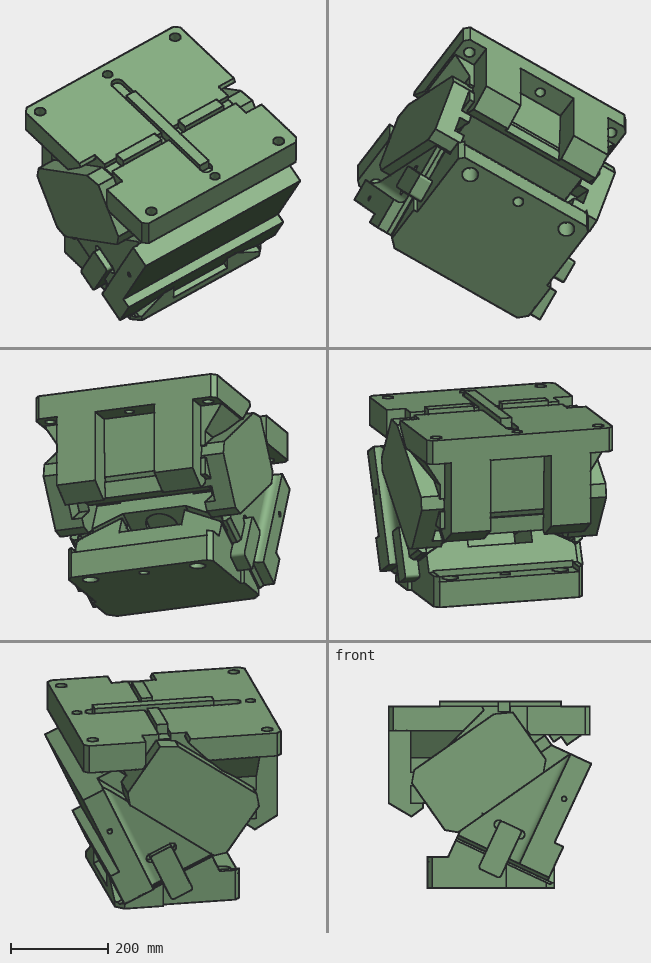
import cadquery as cq
import math


TOTAL_HEIGHT = 384.0
TOTAL_LENGTH = 417.16
HALF_WIDTH = 200.0
TILT = math.radians(25)
INCLINE = math.radians(35)
GABLE_PITCH = math.radians(28)
GABLE_HALF = 160.0
CORNER_CHAMFER = 10.0
FAR = 500.0

SLIDER_TOP_Z = 256.0
SLIDER_LENGTH = 249.0
FLANGE_STEP = 20.0
FLANGE_LENGTH = 70.0
BLOCK_THICKNESS = 47.0
EAVE_GAP = 7.0
GAP_SLOPE_WIDTH = 8.0
WEB_HALF = 177.0
WEB_FILLET = 14.0
SHOULDER_INNER = 132.0
RIDGE_BASE = 37.0
RIDGE_HALF = 81.0
RIDGE_TOP = 61.0
END_RELIEF_HEIGHT = 12.0
END_RELIEF_LENGTH = 30.0
RECESS_LENGTH = 119.0
SPRING_SEAT_WIDTH = 66.0
SPRING_SEAT_DEPTH = 10.0
SPRING_SEAT_LENGTH = 100.0
SPRING_SEAT_INSET = 63.0
RIDGE_END = 110.0
INCLINE_ORIGIN = (142.0, 114.0)

HOOK_RIGHT = 91.0
HOOK_WIDTH = 49.0
HOOK_TOP = 64.0
HOOK_LENGTH = 108.0
HOOK_OUTER = 191.0
HOOK_CORNER = 6.0
EAR_RADIUS = 9.0
SIDE_HOLE_DIAMETER = 10.0
SIDE_HOLE_DEPTH = 20.0
SIDE_HOLE_AT = (40.4, 159.7)

BASE_LEFT = 80.0
BASE_RIGHT = 341.0
RIM_TOP = 64.6
FLOOR_Z = 54.0
RISER_FOOT_Z = 67.7
RISER_X = 122.3
RIM_INNER = 150.0
CHANNEL_HALF = 69.0
CHANNEL_FLOOR = 6.0
EAVE_DROP = 4.5
EAVE_BEVEL = 4.0
BASE_WIDE_HALF = 168.6
BASE_WIDE_X = 242.5
BASE_WIDE_CHAMFER = 17.0
BASE_HOLE_X = 108.0
BASE_BOLT_Y = 118.5
BASE_BOLT_DIAMETER = 33.0
BASE_DOWEL_DIAMETER = 21.0

KEY_RISE = 10.0
PLATE_TOP = TOTAL_HEIGHT - KEY_RISE
PLATE_LENGTH = 414.0
PLATE_THIN = 50.0
PLATE_THICK = 59.0
NOTCH_LEFT = 192.0
NOTCH_RIGHT = 285.5
NOTCH_LIP_WIDTH = 4.0
NOTCH_LIP_HEIGHT = 8.0
NOTCH_BEVEL_WIDTH = 6.0
NOTCH_BEVEL_HEIGHT = 9.0
LEG_THICKNESS = 46.0
LEG_HALF = 150.0
LEG_BOTTOM_Z = 175.0
FOOT_TIP = (47.0, 147.0)
FOOT_RIGHT = (71.0, 165.0)
WINDOW_HALF = 65.5
WINDOW_DEPTH_TOP = 49.5
WINDOW_DEPTH_MIDDLE = 54.0
WINDOW_DEPTH_BOTTOM = 57.0
GROOVE_TOP = 199.0
GROOVE_BOTTOM = 188.0
GROOVE_DEPTH = 6.0
BODY_HALF = 160.0
GUSSET_HALF = 196.0
GUSSET_BOTTOM_Z = 268.0
SLOT_LOW_Z = 211.0
SLOT_HIGH_Z = 238.0
SLOT_LENGTH = 30.0
CHEEK_INNER = 136.0
CHEEK_OUTER = 199.0
CHEEK_LEFT_U = -18.5
CHEEK_RIGHT_U = 235.0
CHEEK_TOP_V = 157.0
CHEEK_CHAMFER = 19.5
CHEEK_TOP_CHAMFER = 34.0
CHEEK_POCKET_LENGTH = 50.0
CHEEK_POCKET_V = (39.0, 71.0)
CHEEK_POCKET_OUTER = 158.0

KEY_WIDTH = 23.5
KEYWAY_WIDTH = 25.0
KEYWAY_DEPTH = 11.0
LONG_KEYWAY = (46.7, 372.5)
LONG_KEY = (105.0, 355.0)
CROSS_KEYWAY_X = 238.0
CROSS_KEY = (30.5, 129.5)
PLATE_BOLT_DIAMETER = 22.5
PLATE_DOWEL_DIAMETER = 20.0
PLATE_BOLTS_LEFT = (26.0, 174.5)
PLATE_BOLTS_RIGHT = (390.0, 164.5)

TEETH_TIPS = [(269.0, 39.5), (287.7, 18.7)]
TEETH_HALF = 150.0


def on_slider(across, along):
    """Point (x, z): across = leftward from the flange face, along = up the slider from its bottom edge."""
    corner_across = FLANGE_STEP - across
    corner_along = along - SLIDER_LENGTH
    x = TOTAL_LENGTH + corner_across * math.cos(TILT) + corner_along * math.sin(TILT)
    z = SLIDER_TOP_Z - corner_across * math.sin(TILT) + corner_along * math.cos(TILT)
    return (x, z)


def on_incline(u, v):
    """Point (x, z): u = up the incline, v = above the incline."""
    x = INCLINE_ORIGIN[0] + u * math.cos(INCLINE) - v * math.sin(INCLINE)
    z = INCLINE_ORIGIN[1] + u * math.sin(INCLINE) + v * math.cos(INCLINE)
    return (x, z)


def slider_coordinates(point):
    """(across, along) of a point (x, z)."""
    origin = on_slider(0, 0)
    dx = point[0] - origin[0]
    dz = point[1] - origin[1]
    return (dz * math.sin(TILT) - dx * math.cos(TILT), dx * math.sin(TILT) + dz * math.cos(TILT))


def incline_u(point):
    dx = point[0] - INCLINE_ORIGIN[0]
    dz = point[1] - INCLINE_ORIGIN[1]
    return dx * math.cos(INCLINE) + dz * math.sin(INCLINE)


def side_profile(points, half_width):
    """Outline in XZ, extruded symmetrically about Y = 0."""
    return cq.Workplane("XZ").polyline(points).close().extrude(half_width, both=True)


def side_pieces(points, inner, outer):
    """Outline in XZ, extruded between two distances from Y = 0 on both sides."""
    near = cq.Workplane("XZ", origin=(0, -inner, 0)).polyline(points).close().extrude(outer - inner)
    return near.union(near.mirror("XZ"))


def block(x_range, y_range, z_range):
    size = [high - low for low, high in (x_range, y_range, z_range)]
    return cq.Workplane("XY").box(*size, centered=False).translate((x_range[0], y_range[0], z_range[0]))


def mirrored_outline(half_points):
    """Closes a half outline, given from the bottom outside to the top, by its mirror image."""
    return half_points + [(-y, height) for y, height in reversed(half_points)]


RIDGE_END_U = incline_u(on_slider(RIDGE_END, SLIDER_LENGTH))
RISER_ACROSS = slider_coordinates((RISER_X, RIM_TOP))[0]
FLOOR_END_X = RISER_X + (RISER_FOOT_Z - RIM_TOP) * math.tan(TILT)
GABLE_RUN = GABLE_HALF - EAVE_BEVEL - CHANNEL_HALF
BASE_ROOF_RISE = GABLE_RUN * math.tan(GABLE_PITCH)


def below_base_roof():
    """Everything below the base's gable roof, which runs down to the right."""
    x, z = on_slider(0, -EAVE_GAP)
    plane = cq.Plane((x, 0, z), xDir=(0, -1, 0), normal=(-math.cos(TILT), 0, math.sin(TILT)))
    half = [
        (HALF_WIDTH, -FAR),
        (HALF_WIDTH, -EAVE_DROP),
        (GABLE_HALF, -EAVE_DROP),
        (GABLE_HALF - EAVE_BEVEL, 0),
        (CHANNEL_HALF, BASE_ROOF_RISE),
    ]
    return cq.Workplane(plane).polyline(mirrored_outline(half)).close().extrude(FAR, both=True)


def below_slider_roof():
    """Everything below the slider's shoulders and stepped ridge, which run up to the right."""
    x, z = INCLINE_ORIGIN
    plane = cq.Plane((x, 0, z), xDir=(0, 1, 0), normal=(math.cos(INCLINE), 0, math.sin(INCLINE)))
    half = [
        (HALF_WIDTH, -FAR),
        (HALF_WIDTH, 0),
        (SHOULDER_INNER, 0),
        (SHOULDER_INNER, RIDGE_BASE),
        (RIDGE_HALF, RIDGE_BASE),
        (RIDGE_HALF, RIDGE_TOP),
    ]
    return cq.Workplane(plane).polyline(mirrored_outline(half)).close().extrude(FAR, both=True)


def make_hooks():
    right, left = HOOK_RIGHT, HOOK_RIGHT + HOOK_WIDTH
    bottom = HOOK_TOP - HOOK_LENGTH
    corners = [(right, bottom), (right, HOOK_TOP), (left, HOOK_TOP), (left, bottom)]
    hooks = side_pieces([on_slider(*corner) for corner in corners], GABLE_HALF, HOOK_OUTER)
    return hooks.edges("|Y").fillet(HOOK_CORNER)


def make_hook_ears():
    """Round reliefs in the web beside the hooks' upper corners."""
    sides = (HOOK_RIGHT, HOOK_RIGHT + HOOK_WIDTH)
    centers = [on_slider(across, HOOK_TOP - EAR_RADIUS) for across in sides]
    ears = cq.Workplane("XZ").pushPoints(centers).circle(EAR_RADIUS).extrude(HALF_WIDTH, both=True)
    return ears.cut(block((-FAR, FAR), (-GABLE_HALF, GABLE_HALF), (-FAR, FAR)))


def make_base():
    profile = [
        (BASE_LEFT, 0),
        (BASE_LEFT, RIM_TOP),
        (RISER_X, RIM_TOP),
        on_slider(RISER_ACROSS, BASE_ROOF_RISE),
        (BASE_RIGHT, SLIDER_TOP_Z),
        (BASE_RIGHT, 0),
    ]
    body = side_profile(profile, GABLE_HALF)
    body = body.edges("|Z and <X").chamfer(CORNER_CHAMFER)
    body = body.edges("|Z and >X").chamfer(BASE_WIDE_CHAMFER - (BASE_WIDE_HALF - GABLE_HALF))

    wide = block((BASE_WIDE_X, BASE_RIGHT), (-BASE_WIDE_HALF, BASE_WIDE_HALF), (0, SLIDER_TOP_Z))
    wide = wide.edges("|Z and >X").chamfer(BASE_WIDE_CHAMFER)
    body = body.union(wide.cut(make_hooks()))
    body = body.intersect(below_base_roof())

    recessed_floor = block((BASE_LEFT, FLOOR_END_X), (-RIM_INNER, RIM_INNER), (FLOOR_Z, RISER_FOOT_Z))
    floor_along = CHANNEL_FLOOR - EAVE_GAP
    channel_points = [(-FAR, floor_along), (FAR, floor_along), (FAR, FAR), (-FAR, FAR)]
    channel = side_profile([on_slider(*point) for point in channel_points], CHANNEL_HALF)
    body = body.cut(recessed_floor).cut(channel)

    bolt_centers = [(BASE_HOLE_X, BASE_BOLT_Y), (BASE_HOLE_X, -BASE_BOLT_Y)]
    holes = cq.Workplane("XY").pushPoints(bolt_centers).circle(BASE_BOLT_DIAMETER / 2).extrude(FLOOR_Z)
    dowel = cq.Workplane("XY").center(BASE_HOLE_X, 0).circle(BASE_DOWEL_DIAMETER / 2).extrude(FLOOR_Z)
    return body.cut(holes).cut(dowel)


def make_slider(base):
    left_along = ridge_along(RISER_ACROSS)
    profile = [
        on_slider(0, -EAVE_GAP),
        on_slider(0, FLANGE_LENGTH),
        on_slider(FLANGE_STEP, FLANGE_LENGTH),
        on_slider(FLANGE_STEP, SLIDER_LENGTH),
        on_slider(RIDGE_END, SLIDER_LENGTH),
        on_incline(RIDGE_END_U, RIDGE_TOP),
        on_slider(RISER_ACROSS, left_along),
        on_slider(RISER_ACROSS, -EAVE_GAP),
    ]
    body = side_profile(profile, HALF_WIDTH).intersect(below_slider_roof())
    body = body.cut(side_recesses()).cut(bottom_clearances()).cut(make_hook_ears())
    body = body.union(make_hooks()).cut(base).cut(underside_recess()).cut(end_relief())

    hole = cq.Workplane("XZ", origin=(0, -HALF_WIDTH, 0)).center(*on_slider(*SIDE_HOLE_AT))
    hole = hole.circle(SIDE_HOLE_DIAMETER / 2).extrude(-SIDE_HOLE_DEPTH)
    return body.cut(hole).cut(hole.mirror("XZ"))


def ridge_along(across):
    """Height along the slider at which the ridge top passes the given distance across."""
    start = slider_coordinates(on_incline(0, RIDGE_TOP))
    return start[1] - (across - start[0]) * math.tan(TILT + INCLINE)


def underside_recess():
    """Space left open over the base channel at the riser end, with a shallow round-ended spring seat."""
    bottom = BASE_ROOF_RISE - EAVE_GAP + END_RELIEF_HEIGHT
    recess_points = [
        (RISER_ACROSS, -EAVE_GAP),
        (RISER_ACROSS, bottom),
        (RISER_ACROSS - RECESS_LENGTH, bottom),
        (RISER_ACROSS - RECESS_LENGTH, -EAVE_GAP),
    ]
    recess = side_profile([on_slider(*point) for point in recess_points], CHANNEL_HALF)
    x, z = on_slider(RISER_ACROSS - SPRING_SEAT_INSET, bottom)
    plane = cq.Plane((x, 0, z), xDir=(0, 1, 0), normal=(math.sin(TILT), 0, math.cos(TILT)))
    seat = cq.Workplane(plane).slot2D(SPRING_SEAT_LENGTH, SPRING_SEAT_WIDTH, 90).extrude(SPRING_SEAT_DEPTH)
    return recess.union(seat)


def end_relief():
    """Lifts the slider's left end off the base roof."""
    lift = (END_RELIEF_HEIGHT * math.sin(TILT), 0, END_RELIEF_HEIGHT * math.cos(TILT))
    end_points = [
        (RISER_ACROSS - END_RELIEF_LENGTH, -EAVE_GAP),
        (RISER_ACROSS - END_RELIEF_LENGTH, FAR),
        (RISER_ACROSS, FAR),
        (RISER_ACROSS, -EAVE_GAP),
    ]
    end = side_profile([on_slider(*point) for point in end_points], GABLE_HALF)
    return end.intersect(below_base_roof().translate(lift))


def side_recesses():
    """Removes the sides left of the block down to the web, leaving a concave fillet at the block."""
    x, z = on_slider(0, 0)
    plane = cq.Plane((x, 0, z), xDir=(0, 1, 0), normal=(math.sin(TILT), 0, math.cos(TILT)))
    wall = FLANGE_STEP + BLOCK_THICKNESS
    arc_middle = WEB_FILLET * (1 - math.sqrt(0.5))
    recess = (
        cq.Workplane(plane)
        .moveTo(WEB_HALF, wall + WEB_FILLET)
        .threePointArc((WEB_HALF + arc_middle, wall + arc_middle), (WEB_HALF + WEB_FILLET, wall))
        .lineTo(FAR, wall)
        .lineTo(FAR, FAR)
        .lineTo(WEB_HALF, FAR)
        .close()
        .extrude(FAR, both=True)
    )
    return recess.union(recess.mirror("XZ"))


def bottom_clearances():
    """Lifts the slider's underside outside the base roof."""
    x, z = on_slider(0, -EAVE_GAP)
    plane = cq.Plane((x, 0, z), xDir=(0, -1, 0), normal=(-math.cos(TILT), 0, math.sin(TILT)))
    slope_start = WEB_HALF - GAP_SLOPE_WIDTH
    outline = [
        (slope_start, 0),
        (WEB_HALF, EAVE_GAP),
        (FAR, EAVE_GAP),
        (FAR, -EAVE_GAP),
        (slope_start, -EAVE_GAP),
    ]
    clearance = cq.Workplane(plane).polyline(outline).close().extrude(FAR, both=True)
    return clearance.union(clearance.mirror("XZ"))


THIN_BOTTOM = PLATE_TOP - PLATE_THIN


def make_plate():
    thin = block((0, NOTCH_RIGHT), (-HALF_WIDTH, HALF_WIDTH), (THIN_BOTTOM, PLATE_TOP))
    thick_heights = (PLATE_TOP - PLATE_THICK, PLATE_TOP)
    thick = block((NOTCH_RIGHT, PLATE_LENGTH), (-HALF_WIDTH, HALF_WIDTH), thick_heights)
    return thin.union(thick).edges("|Z and (<X or >X)").chamfer(CORNER_CHAMFER)


def make_leg():
    profile = [
        (0, THIN_BOTTOM),
        (0, LEG_BOTTOM_Z),
        FOOT_TIP,
        FOOT_RIGHT,
        (FOOT_RIGHT[0], LEG_BOTTOM_Z),
        (LEG_THICKNESS, LEG_BOTTOM_Z),
        (LEG_THICKNESS, THIN_BOTTOM),
    ]
    return side_profile(profile, LEG_HALF)


def make_window():
    """Recess in the middle of the leg with a drafted back wall and a small groove across it."""
    profile = [
        (0, THIN_BOTTOM),
        (WINDOW_DEPTH_TOP, THIN_BOTTOM),
        (WINDOW_DEPTH_MIDDLE, GROOVE_TOP),
        (WINDOW_DEPTH_MIDDLE + GROOVE_DEPTH, GROOVE_BOTTOM),
        (WINDOW_DEPTH_MIDDLE, GROOVE_BOTTOM),
        (WINDOW_DEPTH_BOTTOM, FOOT_TIP[1]),
        (0, FOOT_TIP[1]),
    ]
    return side_profile(profile, WINDOW_HALF)


def make_body():
    profile = [
        (LEG_THICKNESS, THIN_BOTTOM),
        (LEG_THICKNESS, LEG_BOTTOM_Z),
        (INCLINE_ORIGIN[0], LEG_BOTTOM_Z),
        on_incline(CHEEK_RIGHT_U - CHEEK_CHAMFER, 0),
        on_incline(CHEEK_RIGHT_U, CHEEK_CHAMFER),
        on_incline(CHEEK_RIGHT_U, RIDGE_TOP),
        on_incline(RIDGE_END_U, RIDGE_TOP),
        (NOTCH_RIGHT, THIN_BOTTOM),
    ]
    body = side_profile(profile, BODY_HALF)
    gusset = (
        cq.Workplane("YZ", origin=(LEG_THICKNESS, 0, 0))
        .polyline(mirrored_outline([(BODY_HALF, GUSSET_BOTTOM_Z), (GUSSET_HALF, THIN_BOTTOM)]))
        .close()
        .extrude(NOTCH_LEFT - LEG_THICKNESS)
    )
    slot = [
        (LEG_THICKNESS, SLOT_LOW_Z),
        (LEG_THICKNESS, SLOT_HIGH_Z),
        (LEG_THICKNESS + SLOT_LENGTH, SLOT_HIGH_Z),
        (LEG_THICKNESS + SLOT_LENGTH, SLOT_LOW_Z),
    ]
    return body.union(gusset).cut(side_pieces(slot, LEG_HALF, BODY_HALF))


def make_notches():
    """Clearance beside the cheeks: a 45 degree left wall with a small lip, and an upright right wall."""
    lip = (NOTCH_LEFT + NOTCH_LIP_WIDTH, PLATE_TOP - NOTCH_LIP_HEIGHT)
    drop = lip[1] - GUSSET_BOTTOM_Z
    profile = [
        (NOTCH_LEFT, PLATE_TOP),
        lip,
        (lip[0] - drop, GUSSET_BOTTOM_Z),
        (NOTCH_RIGHT + NOTCH_BEVEL_WIDTH, GUSSET_BOTTOM_Z),
        (NOTCH_RIGHT + NOTCH_BEVEL_WIDTH, PLATE_TOP - PLATE_THICK),
        (NOTCH_RIGHT, PLATE_TOP - PLATE_THICK + NOTCH_BEVEL_HEIGHT),
        (NOTCH_RIGHT, PLATE_TOP),
    ]
    return side_pieces(profile, BODY_HALF, HALF_WIDTH)


def make_cheeks():
    left, right, top = CHEEK_LEFT_U, CHEEK_RIGHT_U, CHEEK_TOP_V
    cut = CHEEK_CHAMFER
    corners = [
        (left + cut, 0),
        (left, cut),
        (left, top - cut),
        (left + cut, top),
        (right - CHEEK_TOP_CHAMFER, top),
        (right, top - cut),
        (right, cut),
        (right - cut, 0),
    ]
    return side_pieces([on_incline(*corner) for corner in corners], CHEEK_INNER, CHEEK_OUTER)


def make_keyways():
    """Crossed grooves in the plate top: a round-ended one along X and an open one along Y."""
    floor = PLATE_TOP - KEYWAY_DEPTH
    start, end = LONG_KEYWAY
    long_groove = cq.Workplane("XY", origin=((start + end) / 2, 0, floor))
    long_groove = long_groove.slot2D(end - start, KEYWAY_WIDTH).extrude(KEYWAY_DEPTH)
    left = CROSS_KEYWAY_X - KEYWAY_WIDTH / 2
    cross_groove = block((left, left + KEYWAY_WIDTH), (-BODY_HALF, BODY_HALF), (floor, PLATE_TOP))
    return long_groove.union(cross_groove)


def make_keys():
    """Keys seated against one wall of each keyway and standing proud of the plate."""
    heights = (PLATE_TOP - KEYWAY_DEPTH, TOTAL_HEIGHT)
    near_wall = -KEYWAY_WIDTH / 2
    keys = block(LONG_KEY, (near_wall, near_wall + KEY_WIDTH), heights)
    left = CROSS_KEYWAY_X - KEYWAY_WIDTH / 2
    cross_key = block((left, left + KEY_WIDTH), CROSS_KEY, heights)
    return keys.union(cross_key).union(cross_key.mirror("XZ"))


def make_plate_holes():
    bolts = [(x, side * y) for x, y in (PLATE_BOLTS_LEFT, PLATE_BOLTS_RIGHT) for side in (-1, 1)]
    dowels = [(PLATE_BOLTS_LEFT[0], 0), (PLATE_BOLTS_RIGHT[0], 0)]
    bottom = cq.Workplane("XY", origin=(0, 0, PLATE_TOP - PLATE_THICK))
    holes = bottom.pushPoints(bolts).circle(PLATE_BOLT_DIAMETER / 2).extrude(PLATE_THICK)
    return holes.union(bottom.pushPoints(dowels).circle(PLATE_DOWEL_DIAMETER / 2).extrude(PLATE_THICK))


def make_teeth():
    """Wedges under the right end of the plate, with edges along and square to the incline."""
    bottom = PLATE_TOP - PLATE_THICK
    teeth = cq.Workplane("XY")
    for tip_u, tip_v in TEETH_TIPS:
        x, z = on_incline(tip_u, tip_v)
        height = bottom - z
        corners = [
            (x - height * math.tan(INCLINE), bottom),
            (x, z),
            (x + height / math.tan(INCLINE), bottom),
        ]
        teeth = teeth.add(side_profile(corners, TEETH_HALF))
    return teeth.combine()


def make_cheek_pockets():
    """Pockets in the cheeks' lower left ends."""
    u_range = (CHEEK_LEFT_U, CHEEK_LEFT_U + CHEEK_POCKET_LENGTH)
    low, high = CHEEK_POCKET_V
    corners = [(u_range[0], low), (u_range[1], low), (u_range[1], high), (u_range[0], high)]
    return side_pieces([on_incline(*corner) for corner in corners], CHEEK_INNER, CHEEK_POCKET_OUTER)


def make_holder(slider):
    holder = make_plate().union(make_teeth()).union(make_leg()).union(make_body()).cut(make_window())
    holder = holder.cut(make_notches()).union(make_cheeks()).cut(make_cheek_pockets())
    holder = holder.cut(make_keyways()).union(make_keys()).cut(make_plate_holes())
    return holder.cut(slider)


base = make_base()
slider = make_slider(base)
holder = make_holder(slider)
result = cq.Compound.makeCompound([body.solids().val() for body in (base, slider, holder)])